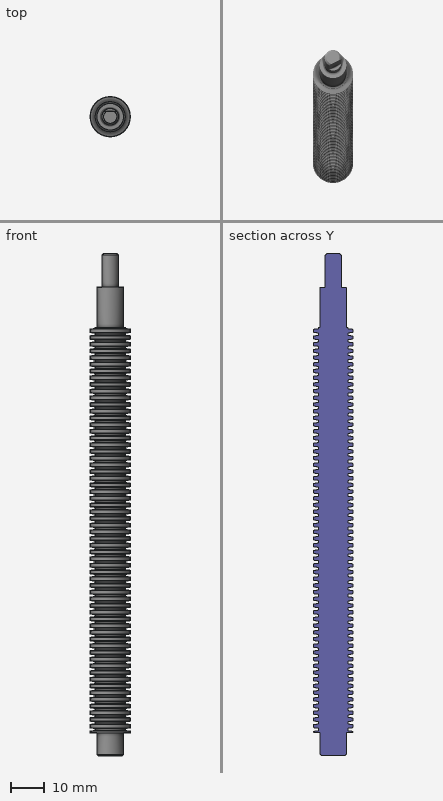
import cadquery as cq

rod_length = 150.0
rod_diameter = 8.0
lower_end_length = 6.9
lower_end_chamfer = 0.5

core_diameter = 9.0
fin_diameter = 12.0
fin_count = 61
fin_span = 120.0
fin_pitch = fin_span / (fin_count - 1)
fin_tip_thickness = fin_pitch / 2
groove_floor_width = 0.6

tip_diameter = 5.0
tip_length = 10.0
tip_chamfer = 0.5
flat_length = 6.5
flat_offset = 1.5
shoulder_z = rod_length - tip_length


def cylinder(diameter, length, base_z):
    """Solid cylinder on the Z axis, standing on base_z."""
    return cq.Workplane("XY").workplane(offset=base_z).circle(diameter / 2).extrude(length)


def make_rod():
    """Plain rod up to the shoulder of the tip."""
    return cylinder(rod_diameter, shoulder_z, 0).faces("<Z").chamfer(lower_end_chamfer)


def make_finned_core():
    """Core with evenly spaced ring fins that taper outward, turned as one profile."""
    core_radius = core_diameter / 2
    fin_radius = fin_diameter / 2
    half_tip = fin_tip_thickness / 2
    half_root = (fin_pitch - groove_floor_width) / 2
    top_z = lower_end_length + fin_span + fin_pitch / 2

    profile = cq.Workplane("XZ").moveTo(0, lower_end_length).lineTo(fin_radius, lower_end_length)
    for index in range(fin_count):
        fin_middle = lower_end_length + index * fin_pitch
        if index > 0:
            profile = profile.lineTo(core_radius, fin_middle - half_root)
            profile = profile.lineTo(fin_radius, fin_middle - half_tip)
        profile = profile.lineTo(fin_radius, fin_middle + half_tip)
        profile = profile.lineTo(core_radius, fin_middle + half_root)
    profile = profile.lineTo(core_radius, top_z).lineTo(0, top_z).close()
    return profile.revolve(360, (0, 0, 0), (0, 1, 0))


def make_tip():
    """Chamfered pin with a flat milled down from its end."""
    tip = cylinder(tip_diameter, tip_length, shoulder_z).faces(">Z").chamfer(tip_chamfer)
    flat_cut = cq.Workplane("XY").box(
        tip_diameter, tip_diameter, flat_length, centered=(True, False, False)
    )
    return tip.cut(flat_cut.translate((0, flat_offset, rod_length - flat_length)))


result = make_rod().union(make_finned_core()).union(make_tip())